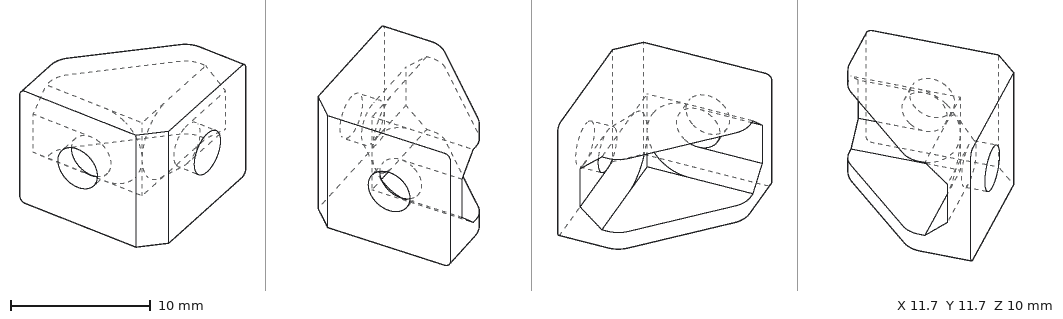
import cadquery as cq

side = 11.7
height = 10.0
big_chamfer = 7.0
small_chamfer = 1.7
corner_radius = 2.0
edge_radius = 0.5

hole_diameter = 3.4
head_diameter = 6.5
hole_offset = 5.0
seat_wall = 1.75
head_top = side - hole_offset - head_diameter / 2
mid_height = height / 2


def make_body():
    """Five-cornered block with rounded outer edges beside the big chamfer."""
    body = (
        cq.Workplane("XY")
        .moveTo(0, 0)
        .lineTo(side - small_chamfer, 0)
        .lineTo(side, small_chamfer)
        .lineTo(side, side)
        .lineTo(big_chamfer, side)
        .lineTo(0, side - big_chamfer)
        .close()
        .extrude(height)
    )
    for corner in ((0, side - big_chamfer), (big_chamfer, side)):
        edge = cq.selectors.NearestToPointSelector((*corner, mid_height))
        body = body.edges(edge).fillet(corner_radius)
    for level in (0, height):
        rim = cq.selectors.NearestToPointSelector((0, (side - big_chamfer) / 2, level))
        body = body.edges(rim).fillet(edge_radius)
    return body


def make_screw_cutter():
    """Screw along Y: hole and cone, with the cone's profile swept out to -X."""
    hole_radius = hole_diameter / 2
    head_radius = head_diameter / 2
    revolved = (
        cq.Workplane("XY")
        .polyline([
            (0, 0),
            (hole_radius, 0),
            (hole_radius, seat_wall),
            (head_radius, head_top),
            (0, head_top),
        ])
        .close()
        .revolve(360, (0, 0, 0), (0, 1, 0))
        .translate((hole_offset, 0, mid_height))
    )
    swept = (
        cq.Workplane("YZ")
        .polyline([
            (seat_wall, mid_height - hole_radius),
            (head_top, mid_height - head_radius),
            (head_top, mid_height + head_radius),
            (seat_wall, mid_height + hole_radius),
        ])
        .close()
        .extrude(hole_offset)
    )
    return revolved.union(swept)


def make_head_space():
    """Square-cornered slot above both cones, open to the big chamfer."""
    slot_length = side - head_top
    return cq.Workplane("XY").box(slot_length, slot_length, head_diameter, centered=False).translate(
        (0, head_top, mid_height - head_diameter / 2)
    )


def mirror_across_diagonal(shape):
    """Swap the two screw directions: (x, y) becomes (side - y, side - x)."""
    center = (side / 2, side / 2, 0)
    return shape.mirror(cq.Vector(1, 1, 0), center)


y_screw = make_screw_cutter()
x_screw = mirror_across_diagonal(y_screw)
result = make_body().cut(make_head_space()).cut(y_screw).cut(x_screw)